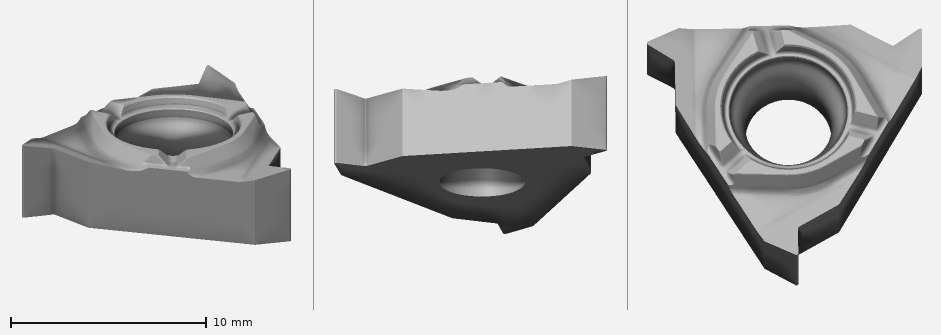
import cadquery as cq
import math

ARM_COUNT = 3
ARM_ANGLE = 360 / ARM_COUNT

TOP_Z = 4.2
FLOOR_Z = 3.41
LEDGE_Z = 3.7

SIDE_DIST = 4.77
FLANK_START_Y = -5.53
FLANK_ANGLE = 61.0
NOTCH_X = -2.92
NOTCH_Y = -5.77
TOOTH_BACK_ANGLE = 60.0
NOTCH_RADIUS = 0.14
TIP_RADIUS = 0.1

RAKE_START = 4.77
RAKE_ANGLE = 14.0
RAKE_BLEND = 0.04
RAKE_REACH = 9.88

COLLAR_CREST = 3.75
COLLAR_SLOPE = 50.0
COLLAR_ARC_START = 237.5
COLLAR_ARC_END = 270.0
FOOT_RADIUS = 0.42
CREST_CHAMFER = 0.03
BLANK_RADIUS = 9.88

TROUGH_WALL_ANGLE = 70.0
TROUGH_TOP_DIST = 4.3
TROUGH_LENGTH = 5.65
TROUGH_OVERCUT = 0.28
GROOVE_ANGLE = 193.6
GROOVE_FLOOR_HALF_WIDTH = 0.14
GROOVE_TOP_HALF_WIDTH = 0.7
GROOVE_START = 2.82
RELIEF_CORNER_RADIUS = 0.08
RELIEF_FOOT_RADIUS = 0.25

HOLE_RADIUS = 2.2
FUNNEL_START_Z = 1.37
FUNNEL_RADIUS = 2.25
FUNNEL_ANGLE = 45.0
SEAT_RADIUS = 3.03
SEAT_FOOT_Z = 3.23
SEAT_EDGE = 0.04
STEP_Z = 3.71
STEP_FLAT_RADIUS = 3.16
STEP_WALL_RADIUS = 3.33
STEP_WALL_Z = 3.85
RIM_RADIUS = 3.43
RIM_CHAMFER = 0.07


def polar(radius, angle):
    """Point at a distance and direction (degrees) from the origin."""
    return radius * math.cos(math.radians(angle)), radius * math.sin(math.radians(angle))


def turned(point, angle):
    """Point rotated about the origin by an angle in degrees."""
    return polar(math.hypot(*point), math.degrees(math.atan2(point[1], point[0])) + angle)


def repeated(shape):
    """Union of the shape copied to all three sides."""
    copies = shape
    for i in range(1, ARM_COUNT):
        copies = copies.union(shape.rotate((0, 0, 0), (0, 0, 1), i * ARM_ANGLE))
    return copies


def insert_outline():
    """Full-height prism of the insert, with rounded tips and notches."""
    flank_run = 1 / math.tan(math.radians(FLANK_ANGLE))
    back_run = 1 / math.tan(math.radians(TOOTH_BACK_ANGLE))
    gap = NOTCH_X + SIDE_DIST - (FLANK_START_Y - NOTCH_Y) * flank_run
    tip_drop = gap / (flank_run + back_run)
    tip = (NOTCH_X - tip_drop * back_run, NOTCH_Y - tip_drop)
    flank_start = (-SIDE_DIST, FLANK_START_Y)
    notch = (NOTCH_X, NOTCH_Y)
    arm_end_x = (NOTCH_Y * math.cos(math.radians(30)) + SIDE_DIST) / math.sin(math.radians(30))
    arm_end = (arm_end_x, NOTCH_Y)
    points = []
    tips = []
    notches = []
    for i in range(ARM_COUNT):
        points += [turned(p, i * ARM_ANGLE) for p in (flank_start, tip, notch, arm_end)]
        tips.append(turned(tip, i * ARM_ANGLE))
        notches.append(turned(notch, i * ARM_ANGLE))
    prism = cq.Workplane("XY").polyline(points).close().extrude(TOP_Z)
    for corners, radius in ((tips, TIP_RADIUS), (notches, NOTCH_RADIUS)):
        for x, y in corners:
            near = cq.selectors.BoxSelector((x - 0.01, y - 0.01, 0), (x + 0.01, y + 0.01, TOP_Z))
            prism = prism.edges(near).fillet(radius)
    return prism


def collar():
    """Tapered three-lobed collar with a filleted foot on a wide floor."""
    foot = COLLAR_CREST + (TOP_Z - FLOOR_Z) / math.tan(math.radians(COLLAR_SLOPE))
    half_span = (COLLAR_ARC_END - COLLAR_ARC_START) / 2
    first_middle = (COLLAR_ARC_START + COLLAR_ARC_END) / 2
    corner_distance = foot / math.cos(math.radians(ARM_ANGLE / 2 - half_span))
    corner_angle = first_middle - ARM_ANGLE / 2
    outline = cq.Workplane("XY").workplane(offset=FLOOR_Z).moveTo(*polar(corner_distance, corner_angle))
    for i in range(ARM_COUNT):
        middle = first_middle + i * ARM_ANGLE
        outline = outline.lineTo(*polar(foot, middle - half_span))
        outline = outline.threePointArc(polar(foot, middle), polar(foot, middle + half_span))
        outline = outline.lineTo(*polar(corner_distance, middle + ARM_ANGLE / 2))
    lobes = outline.close().extrude(TOP_Z - FLOOR_Z, taper=90 - COLLAR_SLOPE)
    lobes = lobes.faces(">Z").chamfer(CREST_CHAMFER)
    blank = cq.Workplane("XY").circle(BLANK_RADIUS).extrude(FLOOR_Z).union(lobes)
    inside_rim = cq.selectors.BoxSelector(
        (-BLANK_RADIUS / 2, -BLANK_RADIUS / 2, FLOOR_Z - 0.01),
        (BLANK_RADIUS / 2, BLANK_RADIUS / 2, FLOOR_Z + 0.01),
    )
    foot_edges = blank.edges(inside_rim)
    return foot_edges.fillet(FOOT_RADIUS)


def rake_wedge():
    """Wedge that raises the arm toward -Y, with a rounded crease at its start."""
    slope = math.radians(RAKE_ANGLE)
    bend = RAKE_BLEND / math.tan(slope / 2)
    rise = (RAKE_REACH - RAKE_START) * math.tan(slope)
    mid = (RAKE_START - RAKE_BLEND + bend * math.sin(slope / 2), FLOOR_Z + bend * (1 - math.cos(slope / 2)))
    end = (RAKE_START + RAKE_BLEND * math.cos(slope), FLOOR_Z + RAKE_BLEND * math.sin(slope))
    profile = (
        cq.Workplane("XZ")
        .moveTo(RAKE_START - RAKE_BLEND, 0)
        .lineTo(RAKE_START - RAKE_BLEND, FLOOR_Z)
        .threePointArc(mid, end)
        .lineTo(RAKE_REACH, FLOOR_Z + rise)
        .lineTo(RAKE_REACH, 0)
        .close()
    )
    return profile.extrude(RAKE_REACH, both=True).rotate((0, 0, 0), (0, 0, 1), -90)


def corner_relief():
    """Cutter for one side: trough and groove on a common ledge, with rounded corners and foot."""
    outside = -SIDE_DIST - TROUGH_OVERCUT
    wall_run = (TOP_Z - LEDGE_Z) / math.tan(math.radians(TROUGH_WALL_ANGLE))
    trough = (
        cq.Workplane("XZ")
        .moveTo(outside, LEDGE_Z)
        .lineTo(-TROUGH_TOP_DIST - wall_run, LEDGE_Z)
        .lineTo(-TROUGH_TOP_DIST, TOP_Z)
        .lineTo(outside, TOP_Z)
        .close()
        .extrude(TROUGH_LENGTH / 2, both=True)
    )
    groove = (
        cq.Workplane("YZ", origin=(GROOVE_START, 0, 0))
        .moveTo(-GROOVE_TOP_HALF_WIDTH, TOP_Z)
        .lineTo(-GROOVE_FLOOR_HALF_WIDTH, LEDGE_Z)
        .lineTo(GROOVE_FLOOR_HALF_WIDTH, LEDGE_Z)
        .lineTo(GROOVE_TOP_HALF_WIDTH, TOP_Z)
        .close()
        .extrude(SIDE_DIST - GROOVE_START)
        .rotate((0, 0, 0), (0, 0, 1), GROOVE_ANGLE)
    )
    foot_x = -TROUGH_TOP_DIST - wall_run
    clear_of_ends = TROUGH_LENGTH / 2 - 0.14
    wall_corners = cq.selectors.BoxSelector(
        (foot_x - 0.14, -clear_of_ends, LEDGE_Z + 0.01),
        (0.14 - TROUGH_TOP_DIST, clear_of_ends, TOP_Z - 0.01),
    )
    ledge_outline = cq.selectors.BoxSelector(
        (foot_x - 0.14, -clear_of_ends, LEDGE_Z - 0.01),
        (-GROOVE_START, clear_of_ends, LEDGE_Z + 0.01),
    )
    cutter = trough.union(groove)
    cutter = cutter.edges(wall_corners).fillet(RELIEF_CORNER_RADIUS)
    return cutter.edges(ledge_outline).fillet(RELIEF_FOOT_RADIUS)


def bore():
    """Revolved cutter: straight hole, flared funnel, seat, and stepped rim."""
    flare = math.radians(FUNNEL_ANGLE)
    flare_mid = (
        HOLE_RADIUS + FUNNEL_RADIUS * (1 - math.cos(flare / 2)),
        FUNNEL_START_Z + FUNNEL_RADIUS * math.sin(flare / 2),
    )
    flare_end = (
        HOLE_RADIUS + FUNNEL_RADIUS * (1 - math.cos(flare)),
        FUNNEL_START_Z + FUNNEL_RADIUS * math.sin(flare),
    )
    profile = (
        cq.Workplane("XZ")
        .lineTo(HOLE_RADIUS, 0)
        .lineTo(HOLE_RADIUS, FUNNEL_START_Z)
        .threePointArc(flare_mid, flare_end)
        .tangentArcPoint((SEAT_RADIUS, SEAT_FOOT_Z), relative=False)
        .lineTo(SEAT_RADIUS, STEP_Z - SEAT_EDGE)
        .lineTo(SEAT_RADIUS + SEAT_EDGE, STEP_Z)
        .lineTo(STEP_FLAT_RADIUS, STEP_Z)
        .tangentArcPoint((STEP_WALL_RADIUS, STEP_WALL_Z), relative=False)
        .lineTo(RIM_RADIUS, TOP_Z - RIM_CHAMFER)
        .lineTo(RIM_RADIUS + RIM_CHAMFER, TOP_Z)
        .lineTo(0, TOP_Z)
        .close()
    )
    return profile.revolve(360, (0, 0, 0), (0, 1, 0))


result = (
    collar()
    .union(repeated(rake_wedge()))
    .intersect(insert_outline())
    .cut(repeated(corner_relief()))
    .cut(bore())
)